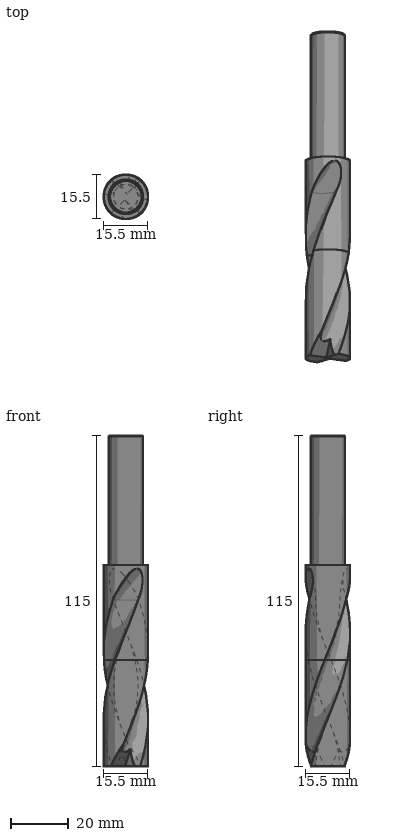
import cadquery as cq
import math

total_length = 115.0
head_length = 37.0
body_length = 70.0
body_diameter = 15.5
shank_diameter = 12.0
shank_chamfer = 0.5
body_radius = body_diameter / 2

flute_count = 2
flute_lead = 120.0
flute_radius = 5.5
flute_floor_radius = 4.2
flute_centre_offset = flute_floor_radius + flute_radius
flute_start_angle = 275.5
flute_end_height = 57.7
flute_twist = flute_end_height * 360.0 / flute_lead

runout_length = 12.0
runout_lean_angle = 32.4
runout_arc_radius = 39.0
runout_section_count = 5

gash_root = cq.Vector(-0.33, -1.05, 0)
gash_root_top = cq.Vector(1.84, -4.2, 6.5)
gash_heel = cq.Vector(-5.2, -5.75, 0)
gash_lip = cq.Vector(3.0, -4.4, 0)
gash_clear_radius = 1.3 * body_radius
gash_length_factor = 1.4

origin = cq.Vector(0, 0, 0)
tool_axis = cq.Vector(0, 0, 1)


def turn(shape, angle):
    """Rotate a shape about the tool axis."""
    return shape.rotate(origin, tool_axis, angle)


def make_helix_cutter():
    """Round flute section twisted up from the cutting end."""
    section = cq.Wire.makeCircle(flute_radius, cq.Vector(flute_centre_offset, 0, 0), tool_axis)
    top = cq.Vector(0, 0, flute_end_height)
    helix = cq.Solid.extrudeLinearWithRotation(section, [], origin, top, flute_twist)
    return turn(helix, flute_start_angle)


def make_runout_section(height):
    """Flute section at a height above the end of the helix."""
    rise = runout_arc_radius - math.sqrt(runout_arc_radius**2 - height**2)
    lean = height * math.tan(math.radians(runout_lean_angle))
    centre = cq.Vector(flute_centre_offset + rise, lean, flute_end_height + height)
    return cq.Wire.makeCircle(flute_radius, centre, tool_axis)


def make_runout_cutter():
    """Upper end of the flute, where it fades out at the body surface."""
    step = runout_length / (runout_section_count - 1)
    sections = [make_runout_section(i * step) for i in range(runout_section_count)]
    return turn(cq.Solid.makeLoft(sections), flute_start_angle + flute_twist)


def make_gash_cutter():
    """Slanted prism that opens the flute toward the core at the cutting end."""
    heel_direction = (gash_heel - gash_root).normalized()
    heel_clear = gash_root + heel_direction * gash_clear_radius
    outer_clear = cq.Vector(gash_lip.x, -gash_clear_radius, 0)
    outline = cq.Wire.makePolygon([gash_root, heel_clear, outer_clear, gash_lip], close=True)
    slope = (gash_root_top - gash_root) * gash_length_factor
    return cq.Solid.extrudeLinear(outline, [], slope)


flute_cutters = [make_helix_cutter(), make_runout_cutter(), make_gash_cutter()]


def cut_flutes(body):
    """Cut every flute, with its runout and end gash, from a body."""
    for i in range(flute_count):
        for cutter in flute_cutters:
            body = body.cut(turn(cutter, i * 360.0 / flute_count))
    return body


def make_head():
    """Cutting head below the joint."""
    return cut_flutes(cq.Workplane("XY").circle(body_radius).extrude(head_length))


def make_shank():
    """Fluted collar above the joint, with the plain chamfered stem on top."""
    collar = (
        cq.Workplane("XY")
        .workplane(offset=head_length)
        .circle(body_radius)
        .extrude(body_length - head_length)
    )
    stem = (
        cq.Workplane("XY")
        .workplane(offset=body_length)
        .circle(shank_diameter / 2)
        .extrude(total_length - body_length)
        .faces(">Z")
        .chamfer(shank_chamfer)
    )
    return cut_flutes(collar).union(stem)


head = make_head().solids()
shank = make_shank().solids()
result = cq.Compound.makeCompound([head.val(), shank.val()])